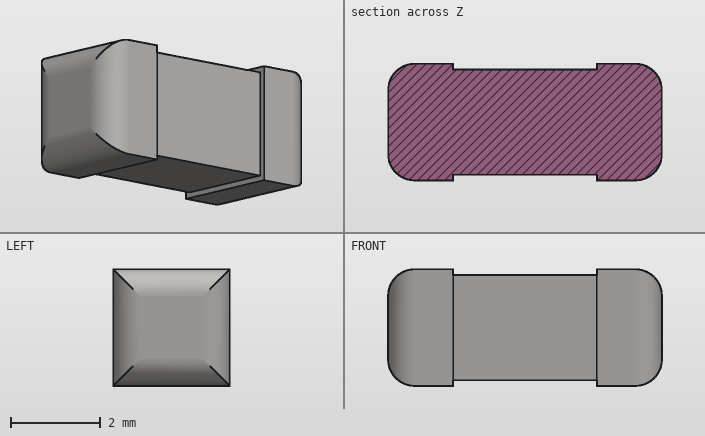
import cadquery as cq

overall_length = 6.1
cap_size = 2.6
cap_length = 1.45
end_rounding = 0.6
body_inset = 0.125

body_size = cap_size - 2 * body_inset


def make_body():
    """Square bar that runs between the two caps."""
    return cq.Workplane("XY").box(overall_length - 2 * cap_length, body_size, body_size)


def make_cap(side):
    """End cap on the -X (side = -1) or +X (side = 1) end, rounded at its outer face."""
    outer_face = "<X" if side < 0 else ">X"
    center_x = side * (overall_length - cap_length) / 2
    cap = cq.Workplane("XY").box(cap_length, cap_size, cap_size)
    return cap.faces(outer_face).edges().fillet(end_rounding).translate((center_x, 0, 0))


result = make_body()
for side in (-1, 1):
    result = result.union(make_cap(side))